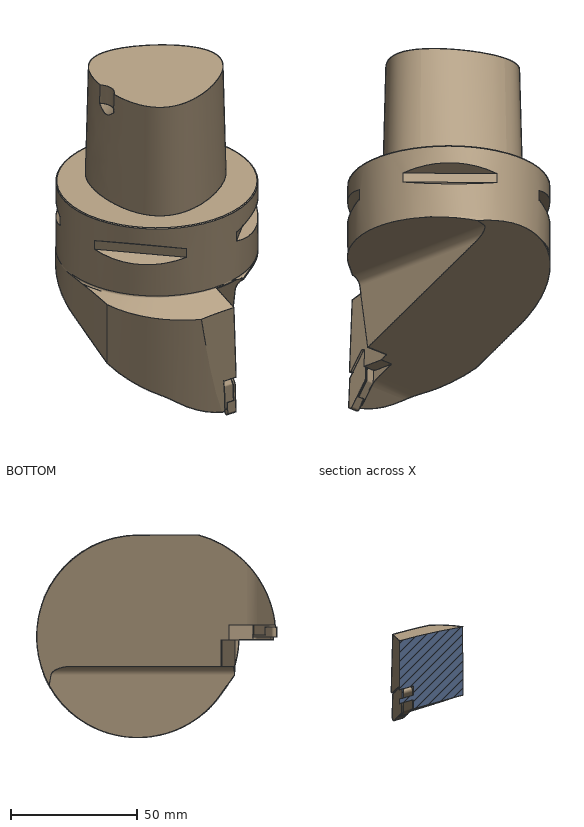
import cadquery as cq
import math


FLANGE_RADIUS = 80.0 / 2
FLANGE_CHAMFER = 0.4
GRIP_CENTER_Z = -12.0
GRIP_FLOOR_HEIGHT = 3.8
GRIP_FLOOR_DISTANCE = 35.5
GRIP_FLANK_ANGLE = 30
GRIP_COUNT = 4
GRIP_START_ANGLE = 45

SHANK_HEIGHT = 48.0
SHANK_MEAN_RADIUS = 27.5
SHANK_LOBE_HEIGHT = 2.2
SHANK_TAPER = 1 / 40
LOBE_COUNT = 3
LOBE_HALF_SPAN = math.radians(25)
SPLINE_STEPS = 8
NOTCH_RADIUS = 6.4
NOTCH_BACK_Y = -21.8
NOTCH_FLOOR_Z = 39.8
NOTCH_POINT_SLOPE = 45

SHOULDER_Z = -31.1
SHOULDER_SLOPE = 15
SHOULDER_FILLET = 0.9
HEAD_LEFT_Z = -29.5
UNDERSIDE_SLOPE = 25
TIP_SLOPE = 45.5
TIP_X = 54.3
TIP_Z = -78.2
UNDERSIDE_FILLET = 14.1
END_FACE_TOP_X = 52.1
END_FACE_TOP_Z = -34.3
HEAD_LIP = 0.1
HEAD_RADIUS = FLANGE_RADIUS + HEAD_LIP
SIDE_Y = -HEAD_RADIUS - HEAD_LIP
SIDE_START_X = 15.1
SIDE_END_X = 24.0
LOBE_RADIUS = 41.7
LOBE_BACK_ANGLE = 35

WALL_Y = 11.8
CEILING_EDGE_Z = -32.4
CEILING_SLOPE = 4.8
CEILING_FILLET = 3.8
CHIP_FACE_Y = 1.3
CHIP_WALL_TOP_X = 38.4
CHIP_WALL_BOTTOM_X = 33.3
CHIP_WALL_BOTTOM_Z = -63.5
SEAT_Y = -4.6
SEAT_TOP_Z = -64.9

INSERT_TOP_Y = 0.3
PLATE_THICKNESS = 0.9
NOSE_THICKNESS = 4.0
NOSE_ANGLE = 35
INSERT_EDGE_ANGLE = 93
INSERT_EDGE = 15.2
INSERT_MAX_X = 55.0
INSERT_MIN_Z = -80.0
NOSE_RADIUS = 2.2 / 2
CORNER_RADIUS = 1.0
NOSE_LENGTH = 7.7
BODY_INSET = 0.4
BODY_NOSE_RADIUS = 3.0 / 2

REACH = 76.8


def shank_edge(radius, start, end):
    """One stretch of the lobed shank outline, with a lobe pointing to +Y."""

    def point(s):
        t = start + s * (end - start)
        x = -radius * math.sin(t) + SHANK_LOBE_HEIGHT * math.sin(2 * t)
        y = radius * math.cos(t) + SHANK_LOBE_HEIGHT * math.cos(2 * t)
        return cq.Vector(x, y, 0)

    return cq.Edge.makeSpline([point(i / SPLINE_STEPS) for i in range(SPLINE_STEPS + 1)])


def shank_outline(radius, z):
    pitch = 2 * math.pi / LOBE_COUNT
    edges = []
    for i in range(LOBE_COUNT):
        lobe = i * pitch
        flank_start = lobe + LOBE_HALF_SPAN
        edges.append(shank_edge(radius, lobe - LOBE_HALF_SPAN, flank_start))
        edges.append(shank_edge(radius, flank_start, lobe + pitch - LOBE_HALF_SPAN))
    return cq.Wire.assembleEdges(edges).translate(cq.Vector(0, 0, z))


def make_shank():
    top_radius = SHANK_MEAN_RADIUS - SHANK_HEIGHT * SHANK_TAPER
    wires = [shank_outline(SHANK_MEAN_RADIUS, 0), shank_outline(top_radius, SHANK_HEIGHT)]
    shank = cq.Workplane(cq.Solid.makeLoft(wires, True))
    point_depth = NOTCH_RADIUS * math.tan(math.radians(NOTCH_POINT_SLOPE))
    notch = (
        cq.Workplane("XZ")
        .moveTo(0, NOTCH_FLOOR_Z - point_depth)
        .lineTo(NOTCH_RADIUS, NOTCH_FLOOR_Z)
        .lineTo(NOTCH_RADIUS, SHANK_HEIGHT)
        .lineTo(0, SHANK_HEIGHT)
        .close()
        .revolve(360, (0, 0), (0, 1))
        .translate((0, NOTCH_BACK_Y - NOTCH_RADIUS, 0))
    )
    return shank.cut(notch)


def turned_envelope():
    """Flange cylinder and, below it, the conical shoulder with a fillet between them."""
    drop = math.tan(math.radians(SHOULDER_SLOPE))
    arc_span = math.radians(90 - SHOULDER_SLOPE)
    setback = SHOULDER_FILLET * math.tan(arc_span / 2)
    center = (FLANGE_RADIUS + SHOULDER_FILLET, SHOULDER_Z + setback)

    def on_fillet(angle):
        x = center[0] - SHOULDER_FILLET * math.cos(angle)
        z = center[1] - SHOULDER_FILLET * math.sin(angle)
        return (x, z)

    return (
        cq.Workplane("XZ")
        .lineTo(FLANGE_RADIUS - FLANGE_CHAMFER, 0)
        .lineTo(FLANGE_RADIUS, -FLANGE_CHAMFER)
        .lineTo(*on_fillet(0))
        .threePointArc(on_fillet(arc_span / 2), on_fillet(arc_span))
        .lineTo(REACH, SHOULDER_Z - (REACH - FLANGE_RADIUS) * drop)
        .lineTo(REACH, -2 * REACH)
        .lineTo(0, -2 * REACH)
        .close()
        .revolve(360, (0, 0), (0, 1))
    )


def head_plan():
    """Head circle joined to the lobe that carries the insert, as a tall prism."""
    reach_y = math.sqrt(LOBE_RADIUS**2 - SIDE_Y**2)
    center_x = SIDE_END_X - reach_y
    lobe_x = center_x + LOBE_RADIUS
    half_angle = math.atan2(SIDE_Y, reach_y) / 2
    arc_middle = (center_x + LOBE_RADIUS * math.cos(half_angle), LOBE_RADIUS * math.sin(half_angle))
    back_angle = math.radians(LOBE_BACK_ANGLE)
    tangent_point = (HEAD_RADIUS * math.cos(back_angle), HEAD_RADIUS * math.sin(back_angle))
    back_y = tangent_point[1] - (CHIP_WALL_TOP_X - tangent_point[0]) / math.tan(back_angle)
    lobe = (
        cq.Workplane("XY")
        .moveTo(0, -HEAD_RADIUS)
        .lineTo(SIDE_START_X, SIDE_Y)
        .lineTo(SIDE_END_X, SIDE_Y)
        .threePointArc(arc_middle, (lobe_x, 0))
        .lineTo(lobe_x, CHIP_FACE_Y)
        .lineTo(CHIP_WALL_TOP_X, CHIP_FACE_Y)
        .lineTo(CHIP_WALL_TOP_X, back_y)
        .lineTo(*tangent_point)
        .lineTo(0, 0)
        .close()
        .extrude(-2 * REACH)
    )
    return cq.Workplane("XY").circle(HEAD_RADIUS).extrude(-2 * REACH).union(lobe)


def head_profile():
    """Side outline of the head: sloping underside, steep tip and leaning end face."""
    slope = math.tan(math.radians(UNDERSIDE_SLOPE))
    steep = math.tan(math.radians(TIP_SLOPE))
    left_x = -FLANGE_RADIUS
    clear_x = left_x - 1.3
    bend_x = (HEAD_LEFT_Z + slope * left_x - TIP_Z - steep * TIP_X) / (slope - steep)
    bend_z = HEAD_LEFT_Z - slope * (bend_x - left_x)
    lean = (TIP_X - END_FACE_TOP_X) / (END_FACE_TOP_Z - TIP_Z)
    profile = (
        cq.Workplane("XZ", origin=(0, REACH, 0))
        .moveTo(clear_x, 0)
        .lineTo(clear_x, HEAD_LEFT_Z - slope * (clear_x - left_x))
        .lineTo(bend_x, bend_z)
        .lineTo(TIP_X, TIP_Z)
        .lineTo(TIP_X + lean * TIP_Z, 0)
        .close()
        .extrude(2 * REACH)
    )
    return profile.edges(cq.selectors.NearestToPointSelector((bend_x, 0, bend_z))).fillet(UNDERSIDE_FILLET)


def back_clearance():
    """Space under the flange on the +Y side, with a slightly tilted, filleted ceiling."""
    rise = (REACH - WALL_Y) * math.tan(math.radians(CEILING_SLOPE))
    space = (
        cq.Workplane("YZ", origin=(-REACH, 0, 0))
        .moveTo(WALL_Y, CEILING_EDGE_Z)
        .lineTo(REACH, CEILING_EDGE_Z + rise)
        .lineTo(REACH, -2 * REACH)
        .lineTo(WALL_Y, -2 * REACH)
        .close()
        .extrude(2 * REACH)
    )
    corner = cq.selectors.NearestToPointSelector((0, WALL_Y, CEILING_EDGE_Z))
    return space.edges(corner).fillet(CEILING_FILLET)


def chip_space():
    """Space in front of the chip face, behind a leaning wall."""
    return (
        cq.Workplane("XZ", origin=(0, REACH, 0))
        .moveTo(CHIP_WALL_TOP_X, SHOULDER_Z)
        .lineTo(REACH, SHOULDER_Z)
        .lineTo(REACH, -2 * REACH)
        .lineTo(CHIP_WALL_BOTTOM_X - REACH, -2 * REACH)
        .lineTo(CHIP_WALL_BOTTOM_X - REACH, CHIP_WALL_BOTTOM_Z)
        .lineTo(CHIP_WALL_BOTTOM_X, CHIP_WALL_BOTTOM_Z)
        .close()
        .extrude(REACH - CHIP_FACE_Y)
    )


def seat_space():
    """Open space at the tip, in front of the seat floor."""
    depth = REACH - SEAT_Y
    return (
        cq.Workplane("XY")
        .box(2 * REACH, depth, REACH, centered=(True, False, False))
        .translate((0, SEAT_Y, SEAT_TOP_Z - REACH))
    )


def grip_groove():
    """Trapezoidal straight groove across the flange, facing +X."""
    depth = REACH - GRIP_FLOOR_DISTANCE
    half_floor = GRIP_FLOOR_HEIGHT / 2
    half_mouth = half_floor + depth * math.tan(math.radians(GRIP_FLANK_ANGLE))
    return (
        cq.Workplane("XZ", origin=(0, REACH, GRIP_CENTER_Z))
        .moveTo(GRIP_FLOOR_DISTANCE, -half_floor)
        .lineTo(REACH, -half_mouth)
        .lineTo(REACH, half_mouth)
        .lineTo(GRIP_FLOOR_DISTANCE, half_floor)
        .close()
        .extrude(2 * REACH)
    )


BISECTOR = math.radians(INSERT_EDGE_ANGLE + NOSE_ANGLE / 2)
HALF_NOSE_SINE = math.sin(math.radians(NOSE_ANGLE / 2))
SHARP_X = INSERT_MAX_X - NOSE_RADIUS - NOSE_RADIUS / HALF_NOSE_SINE * math.cos(BISECTOR)
SHARP_Z = INSERT_MIN_Z + NOSE_RADIUS - NOSE_RADIUS / HALF_NOSE_SINE * math.sin(BISECTOR)


def rhombus(inset, nose_radius, top_y, bottom_y):
    """Rhombic plate from top_y down to bottom_y, its edges moved inward by inset."""
    sharp = inset / HALF_NOSE_SINE
    edge = INSERT_EDGE - 2 * inset / math.sin(math.radians(NOSE_ANGLE))
    first = math.radians(INSERT_EDGE_ANGLE)
    second = math.radians(INSERT_EDGE_ANGLE + NOSE_ANGLE)
    first_leg = (edge * math.cos(first), edge * math.sin(first))
    second_leg = (edge * math.cos(second), edge * math.sin(second))
    tip = (SHARP_X + sharp * math.cos(BISECTOR), SHARP_Z + sharp * math.sin(BISECTOR))
    right = (tip[0] + first_leg[0], tip[1] + first_leg[1])
    left = (tip[0] + second_leg[0], tip[1] + second_leg[1])
    far = (right[0] + second_leg[0], right[1] + second_leg[1])
    plate = (
        cq.Workplane("XZ", origin=(0, top_y, 0))
        .polyline([tip, right, far, left])
        .close()
        .extrude(top_y - bottom_y)
    )
    corner_radii = [
        (tip, nose_radius),
        (far, nose_radius),
        (left, CORNER_RADIUS),
        (right, CORNER_RADIUS),
    ]
    middle_y = (top_y + bottom_y) / 2
    for corner, radius in corner_radii:
        point = (corner[0], middle_y, corner[1])
        plate = plate.edges(cq.selectors.NearestToPointSelector(point)).fillet(radius)
    return plate


def nose_zone():
    """Block that keeps only the nose end of a rhombus."""
    return (
        cq.Workplane("XY")
        .box(2 * NOSE_LENGTH, REACH, REACH)
        .rotate((0, 0, 0), (0, 1, 0), -math.degrees(BISECTOR))
        .translate((SHARP_X, 0, SHARP_Z))
    )


def make_insert():
    plate = rhombus(0, NOSE_RADIUS, INSERT_TOP_Y, INSERT_TOP_Y - PLATE_THICKNESS)
    nose = rhombus(0, NOSE_RADIUS, INSERT_TOP_Y, INSERT_TOP_Y - NOSE_THICKNESS).intersect(nose_zone())
    body = rhombus(BODY_INSET, BODY_NOSE_RADIUS, INSERT_TOP_Y, SEAT_Y)
    return plate.union(body).union(nose)


def make_holder():
    holder = head_plan().intersect(turned_envelope()).intersect(head_profile())
    holder = holder.cut(back_clearance()).cut(chip_space()).cut(seat_space())
    for i in range(GRIP_COUNT):
        angle = GRIP_START_ANGLE + i * 360 / GRIP_COUNT
        holder = holder.cut(grip_groove().rotate((0, 0, 0), (0, 0, 1), angle))
    holder = holder.union(make_shank())
    recess = rhombus(0, NOSE_RADIUS, CHIP_FACE_Y, SEAT_Y)
    return holder.cut(recess)


holder = make_holder()
insert = make_insert()
result = cq.Compound.makeCompound([holder.solids().val(), insert.solids().val()])